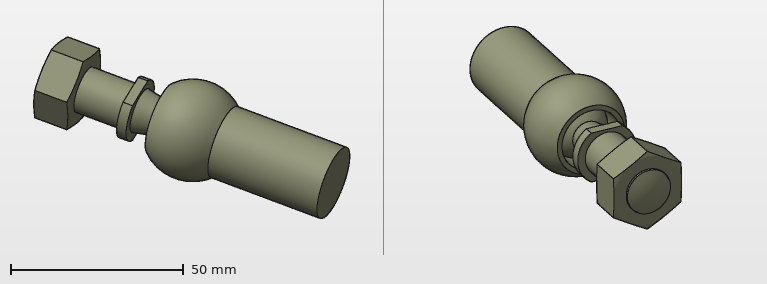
import cadquery as cq
import math

total_length = 93.0

stud_diameter = 14.0
dome_height = 1.3

nut_start = 2.0
nut_thickness = 11.0
nut_across_flats = 22.0
nut_bevel_length = 0.4

collar_start = 27.9
collar_thickness = 3.1
collar_diameter = 19.0
collar_across_flats = 16.0

neck_start_diameter = 13.6
neck_end_diameter = 9.95

ball_center = 47.9
housing_diameter = 29.85
shank_diameter = 22.0
mouth_diameter = 19.0
inner_ball_diameter = 19.0

housing_half_width = math.sqrt(housing_diameter**2 - shank_diameter**2) / 2
housing_start = ball_center - housing_half_width
housing_end = ball_center + housing_half_width

nut_end = nut_start + nut_thickness
collar_end = collar_start + collar_thickness
inner_ball_start = ball_center - math.sqrt(inner_ball_diameter**2 - neck_end_diameter**2) / 2


def cylinder(start, end, diameter):
    """Solid cylinder about the X axis."""
    return cq.Workplane("YZ", origin=(start, 0, 0)).circle(diameter / 2).extrude(end - start)


def make_stud():
    """Domed stud, tapering behind the collar and ending in the inner ball's centre."""
    stud_radius = stud_diameter / 2
    dome_radius = (stud_radius**2 + dome_height**2) / (2 * dome_height)
    profile = (
        cq.Workplane("XY")
        .radiusArc((dome_height, stud_radius), dome_radius)
        .lineTo(collar_end, stud_radius)
        .lineTo(collar_end, neck_start_diameter / 2)
        .lineTo(inner_ball_start, neck_end_diameter / 2)
        .lineTo(ball_center, neck_end_diameter / 2)
        .lineTo(ball_center, 0)
        .close()
    )
    return profile.revolve(360, (0, 0, 0), (1, 0, 0))


def make_nut():
    """Hexagon with corners up and down, its corners bevelled at both ends."""
    across_corners = nut_across_flats / math.cos(math.pi / 6)
    corner_radius = across_corners / 2
    flat_radius = nut_across_flats / 2
    hexagon = (
        cq.Workplane("YZ", origin=(nut_start, 0, 0))
        .transformed(rotate=(0, 0, 90))
        .polygon(6, across_corners)
        .extrude(nut_thickness)
    )
    bevel_envelope = (
        cq.Workplane("XY")
        .moveTo(nut_start, 0)
        .lineTo(nut_start, flat_radius)
        .lineTo(nut_start + nut_bevel_length, corner_radius)
        .lineTo(nut_end - nut_bevel_length, corner_radius)
        .lineTo(nut_end, flat_radius)
        .lineTo(nut_end, 0)
        .close()
        .revolve(360, (0, 0, 0), (1, 0, 0))
    )
    return hexagon.intersect(bevel_envelope)


def make_collar():
    """Round collar with flats facing up and down."""
    flats = cq.Workplane("XY").box(
        collar_thickness, collar_diameter, collar_across_flats, centered=(False, True, True)
    )
    return cylinder(collar_start, collar_end, collar_diameter).intersect(
        flats.translate((collar_start, 0, 0))
    )


def make_housing():
    """Spherical socket, cut flat at its mouth, on a plain cylindrical shank."""
    housing = (
        cq.Workplane("XY")
        .moveTo(housing_start, 0)
        .lineTo(housing_start, shank_diameter / 2)
        .threePointArc((ball_center, housing_diameter / 2), (housing_end, shank_diameter / 2))
        .lineTo(total_length, shank_diameter / 2)
        .lineTo(total_length, 0)
        .close()
        .revolve(360, (0, 0, 0), (1, 0, 0))
    )
    mouth = cylinder(housing_start, ball_center, mouth_diameter)
    return housing.cut(mouth)


inner_ball = cq.Workplane("XY").sphere(inner_ball_diameter / 2).translate((ball_center, 0, 0))

result = make_housing().union(inner_ball).union(make_stud()).union(make_collar()).union(make_nut())